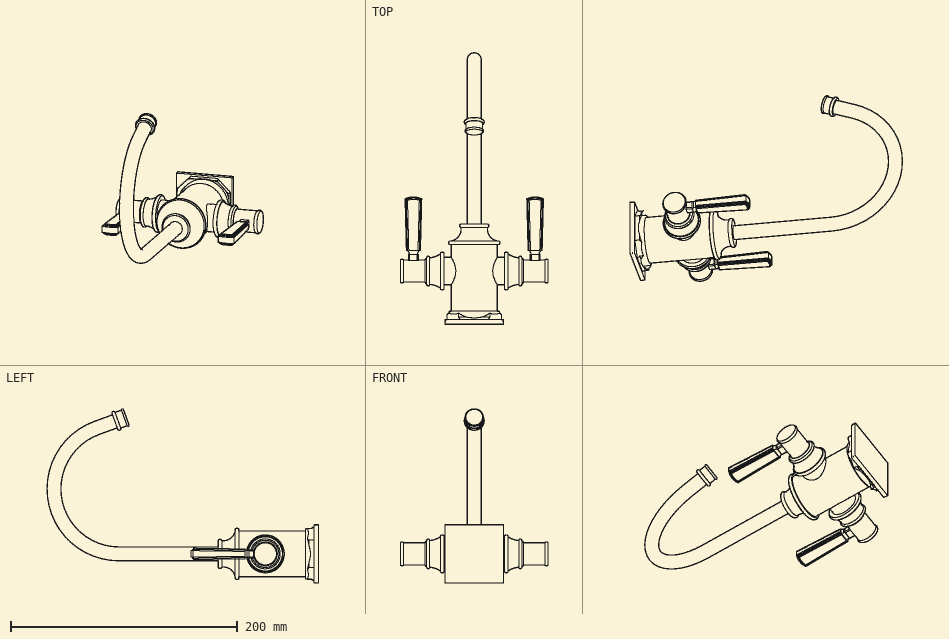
import cadquery as cq
import math

overall_depth = 239.5

plate_side = 51.7
plate_depth = 4.0
plate_corner = 0.7
plate_bevel = 2.0
plate_inset = 0.2

base_half_x = 24.2
base_half_z = 22.5
base_flat_half = 12.2
base_skirt_half_z = 24.0
base_skirt_height = 2.5
base_top_y = 11.0
base_bevel_x = 2.6
base_bevel_y = 2.9
dish_low_y = 4.8
dish_outer_radius = 27.3

collar_radius = 22.3
collar_top_y = 11.7
collar_edge = 1.0
body_radius = 20.3
flange_radius = 22.7
flange_edge_radius = 21.8
flange_start_y = 70.1
flange_depth = 3.4
cove_base_radius = 21.3
cove_sag = 2.9
cove_top_y = 84.0
neck_radius = 11.7
bead_radius = 13.0
body_top_y = 88.5
bead_depth = 3.4

pipe_radius = 6.2
bend_start_y = 176.0
bend_radius = overall_depth - bend_start_y - pipe_radius
outlet_tilt = 20.0
outlet_start = 17.0
outlet_end = 27.8
outlet_ring_radius = 8.9
outlet_ring_depth = 2.9
outlet_ring_edge_radius = 8.0
outlet_waist_radius = 7.5
outlet_lip_radius = 8.1
outlet_lip_depth = 2.0

valve_y = 47.0
arm_radius = 12.2
valve_flange_x = 26.5
valve_flange_depth = 3.4
valve_flange_radius = 16.8
valve_flange_edge_radius = 15.8
valve_cove_radius = 15.0
valve_cove_sag = 0.5
valve_cove_end_x = 38.0
valve_neck_radius = 12.0
valve_ring_x = 39.3
valve_ring_depth = 2.6
valve_ring_radius = 13.2
valve_shoulder_x = 43.3
valve_shoulder_radius = 10.3
knob_radius = 9.8
knob_bead_radius = 10.5
knob_bead_depth = 2.9
valve_end_x = 65.0

lever_x = 53.6
stem_half_width = 4.3
stem_half_thickness = 3.5
stem_corner = 1.0
stem_groove_y = 61.5
stem_neck_inset = 0.5
lever_root_y = 63.0
lever_start_y = 64.9
lever_end_y = 112.3
lever_shoulder_y = 110.5
lever_half_width = (6.2, 7.5)
lever_half_thickness = (4.3, 5.0)
lever_step = 1.08
lever_step_count = 2


def hollow_middle(start, end, sag):
    """Middle point of an arc from start to end, sagging to the left of the line that joins them."""
    run = (end[0] - start[0], end[1] - start[1])
    length = math.hypot(*run)
    return (
        (start[0] + end[0]) / 2 - sag * run[1] / length,
        (start[1] + end[1]) / 2 + sag * run[0] / length,
    )


def make_bead(plane, depth, edge_radius, crown_radius):
    """Disc rising from the plane with a rounded rim."""
    profile = (
        cq.Workplane(cq.Plane(plane.origin, xDir=plane.xDir, normal=plane.xDir.cross(plane.zDir)))
        .lineTo(edge_radius, 0)
        .threePointArc((crown_radius, depth / 2), (edge_radius, depth))
        .lineTo(0, depth)
        .close()
    )
    return profile.revolve(360, (0, 0), (0, 1))


def plane_across_y(y):
    return cq.Plane((0, y, 0), xDir=(1, 0, 0), normal=(0, 1, 0))


def make_plate():
    rear_depth = plate_depth - plate_bevel
    rear = cq.Workplane("XZ").rect(plate_side, plate_side).extrude(-rear_depth)
    front_side = plate_side - 2 * plate_inset
    front = cq.Workplane("XZ", origin=(0, rear_depth, 0)).rect(plate_side, plate_side)
    front = front.workplane(offset=-plate_bevel).rect(front_side, front_side).loft()
    return rear.edges("|Y").fillet(plate_corner).union(front.edges("not #Y").fillet(plate_corner))


def make_pedestal():
    skirt_top = plate_depth + base_skirt_height
    side = [
        (plate_depth, base_skirt_half_z),
        (skirt_top, base_half_z),
        (base_top_y, base_half_z),
        (base_top_y, -base_half_z),
        (skirt_top, -base_half_z),
        (plate_depth, -base_skirt_half_z),
    ]
    block = cq.Workplane("YZ").polyline(side).close().extrude(base_half_x, both=True)
    block = block.faces(">Y").edges("|Z").chamfer(base_bevel_y, base_bevel_x)
    quarter = [(base_half_x, base_flat_half), (base_flat_half, base_skirt_half_z)]
    upper = quarter + [(-x, z) for x, z in reversed(quarter)]
    octagon = upper + [(-x, -z) for x, z in upper]
    prism = cq.Workplane("XZ").polyline(octagon).close().extrude(-base_top_y)
    dish = (
        cq.Workplane("XY")
        .moveTo(0, dish_low_y)
        .lineTo(collar_radius, dish_low_y)
        .lineTo(dish_outer_radius, base_top_y)
        .lineTo(0, base_top_y)
        .close()
        .revolve(360, (0, 0), (0, 1))
    )
    return block.intersect(prism).cut(dish)


def make_body():
    bead_start_y = body_top_y - bead_depth
    cove_start = (cove_base_radius, flange_start_y + flange_depth)
    cove_end = (neck_radius, cove_top_y)
    barrel = cq.Workplane("XZ").circle(body_radius).extrude(-flange_start_y)
    collar = cq.Workplane("XZ").circle(collar_radius).extrude(-collar_top_y)
    collar = collar.faces(">Y").edges().fillet(collar_edge)
    flange = make_bead(plane_across_y(flange_start_y), flange_depth, flange_edge_radius, flange_radius)
    neck = (
        cq.Workplane("XY")
        .moveTo(0, flange_start_y)
        .lineTo(cove_base_radius, flange_start_y)
        .lineTo(*cove_start)
        .threePointArc(hollow_middle(cove_start, cove_end, cove_sag), cove_end)
        .lineTo(neck_radius, bead_start_y)
        .lineTo(0, bead_start_y)
        .close()
        .revolve(360, (0, 0), (0, 1))
    )
    bead = make_bead(plane_across_y(bead_start_y), bead_depth, neck_radius, bead_radius)
    return barrel.union(collar).union(flange).union(neck).union(bead)


def make_spout():
    tilt = math.radians(outlet_tilt)
    half_turn = (math.pi - tilt) / 2
    along = (math.cos(tilt), math.sin(tilt))

    def on_bend(angle):
        return (bend_start_y + bend_radius * math.sin(angle), bend_radius * (1 - math.cos(angle)))

    bend_end = on_bend(2 * half_turn)

    def past_bend(distance):
        return (bend_end[0] - distance * along[0], bend_end[1] + distance * along[1])

    path = (
        cq.Workplane("YZ")
        .moveTo(flange_start_y, 0)
        .lineTo(bend_start_y, 0)
        .threePointArc(on_bend(half_turn), bend_end)
        .lineTo(*past_bend(outlet_end - outlet_lip_depth))
    )
    pipe = cq.Workplane("XZ", origin=(0, flange_start_y, 0)).circle(pipe_radius).sweep(path)

    def outlet_plane(distance):
        return cq.Plane((0, *past_bend(distance)), xDir=(1, 0, 0), normal=(0, -along[0], along[1]))

    lip_start = outlet_end - outlet_lip_depth
    waist_start = outlet_start + outlet_ring_depth / 2
    ring = make_bead(
        outlet_plane(outlet_start), outlet_ring_depth, outlet_ring_edge_radius, outlet_ring_radius
    )
    waist = cq.Workplane(outlet_plane(waist_start)).circle(outlet_waist_radius)
    waist = waist.extrude(lip_start - waist_start)
    lip = make_bead(outlet_plane(lip_start), outlet_lip_depth, outlet_waist_radius, outlet_lip_radius)
    return pipe.union(waist).union(ring).union(lip)


def make_valve():
    flange_end_x = valve_flange_x + valve_flange_depth
    ring_end_x = valve_ring_x + valve_ring_depth
    cove_start = (flange_end_x, valve_y + valve_cove_radius)
    cove_end = (valve_cove_end_x, valve_y + valve_neck_radius)

    def plane_across_x(x):
        return cq.Plane((x, valve_y, 0), xDir=(0, 1, 0), normal=(1, 0, 0))

    turned = (
        cq.Workplane("XY")
        .moveTo(flange_end_x, valve_y)
        .lineTo(*cove_start)
        .threePointArc(hollow_middle(cove_start, cove_end, -valve_cove_sag), cove_end)
        .lineTo(ring_end_x, valve_y + valve_neck_radius)
        .lineTo(valve_shoulder_x, valve_y + valve_shoulder_radius)
        .lineTo(valve_shoulder_x, valve_y)
        .close()
        .revolve(360, (0, valve_y), (1, valve_y))
    )
    arm = cq.Workplane(plane_across_x(0)).circle(arm_radius).extrude(flange_end_x)
    knob = cq.Workplane(plane_across_x(flange_end_x)).circle(knob_radius)
    knob = knob.extrude(valve_end_x - knob_bead_depth - flange_end_x)
    flange = make_bead(
        plane_across_x(valve_flange_x), valve_flange_depth, valve_flange_edge_radius, valve_flange_radius
    )
    ring = make_bead(plane_across_x(valve_ring_x), valve_ring_depth, valve_neck_radius, valve_ring_radius)
    bead = make_bead(
        plane_across_x(valve_end_x - knob_bead_depth), knob_bead_depth, knob_radius, knob_bead_radius
    )
    return turned.union(arm).union(flange).union(ring).union(knob).union(bead)


def lever_section(half_width, half_thickness):
    """Corner points of the lever cross-section, each corner cut back in square steps."""
    corner = [(half_width, half_thickness - lever_step_count * lever_step)]
    for cut in range(1, lever_step_count + 1):
        x = half_width - cut * lever_step
        z = half_thickness - (lever_step_count - cut) * lever_step
        corner += [(x, z - lever_step), (x, z)]
    upper = corner + [(-x, z) for x, z in reversed(corner)]
    return upper + [(-x, -z) for x, z in upper]


def make_lever():
    neck_half_width = stem_half_width - stem_neck_inset
    neck_half_thickness = stem_half_thickness - stem_neck_inset
    root_half_width = lever_half_width[0] - lever_step
    root_half_thickness = lever_half_thickness[0] - lever_step

    def section_at(y):
        return cq.Workplane("XZ", origin=(lever_x, y, 0))

    stem = section_at(valve_y).rect(2 * stem_half_width, 2 * stem_half_thickness)
    stem = stem.extrude(valve_y - stem_groove_y)
    stem = stem.edges("|Y").chamfer(stem_corner)
    neck = section_at(valve_y).rect(2 * neck_half_width, 2 * neck_half_thickness)
    neck = neck.extrude(valve_y - lever_start_y)
    root = section_at(lever_root_y).rect(2 * neck_half_width, 2 * neck_half_thickness)
    root = root.workplane(offset=lever_root_y - lever_start_y)
    root = root.rect(2 * root_half_width, 2 * root_half_thickness).loft()
    grip = section_at(lever_start_y)
    grip = grip.polyline(lever_section(lever_half_width[0], lever_half_thickness[0])).close()
    grip = grip.workplane(offset=lever_start_y - lever_end_y)
    grip = grip.polyline(lever_section(lever_half_width[1], lever_half_thickness[1])).close().loft(ruled=True)
    reach = lever_half_width[1]

    def rounded_end(setback, half_thickness):
        return (
            cq.Workplane("XY")
            .moveTo(lever_x - reach, lever_start_y)
            .lineTo(lever_x - reach, lever_shoulder_y - setback)
            .threePointArc((lever_x, lever_end_y - setback), (lever_x + reach, lever_shoulder_y - setback))
            .lineTo(lever_x + reach, lever_start_y)
            .close()
            .extrude(half_thickness, both=True)
        )

    outline = rounded_end(lever_step_count * lever_step, lever_half_thickness[1])
    for step in range(lever_step_count):
        layer = lever_half_thickness[1] - (lever_step_count - step) * lever_step
        outline = outline.union(rounded_end(step * lever_step, layer))
    return stem.union(neck).union(root).union(grip.intersect(outline))


right_side = make_valve().union(make_lever())
left_side = right_side.mirror("YZ")
result = make_plate().union(make_pedestal()).union(make_body()).union(make_spout())
result = result.union(right_side).union(left_side)